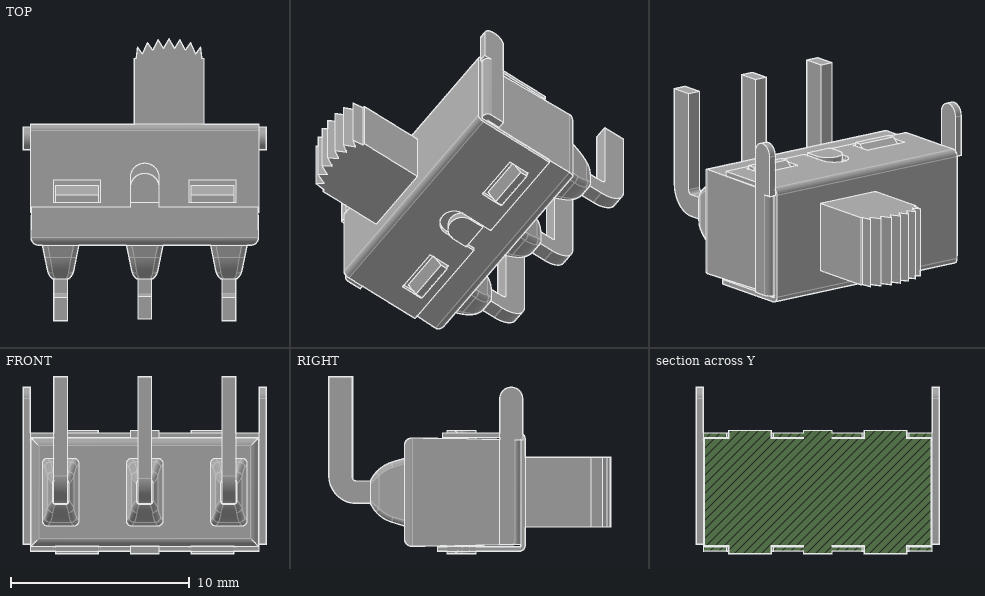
import cadquery as cq
import math


TOTAL_LENGTH = 15.77
OVERLAP = 0.15

COVER_WIDTH = 12.77
COVER_HEIGHT = 6.62
SHEET = 0.27
BEND_RADIUS = 0.35
TOP_FLAP_LENGTH = 4.64
BOTTOM_FLAP_LENGTH = 4.92

HOUSING_DEPTH = 6.77
HOUSING_FRONT_WIDTH = 12.75
HOUSING_FRONT_HEIGHT = COVER_HEIGHT - 2 * SHEET
HOUSING_DRAFT = 0.11
HOUSING_FILLET = 0.44

LATCH_RISE = 0.14
LATCH_FRONT = 4.38
LATCH_OFFSET = 3.78
LATCH_WIDTH = 2.38
LATCH_LENGTH = 0.96
LATCH_FLAT = 0.43
WINDOW_WIDTH = 2.62
WINDOW_LENGTH = 1.26
TONGUE_WIDTH = 1.61
TONGUE_LENGTH = 1.64
SLOT_LENGTH = 2.2

KNOB_OFFSET = 1.35
KNOB_WIDTH = 3.91
KNOB_SHOULDER = 3.67
KNOB_STEP = 0.11
KNOB_REACH = 4.78
TOOTH_COUNT = 7
TOOTH_ARC_RADIUS = 3.6
TOOTH_ANGLE = 9.8
TOOTH_DEPTH = 0.52

TAB_SPAN = 13.6
TAB_BACK = 0.14
TAB_WIDTH = 1.3
TAB_TOP = 5.87
TAB_ROOT_BACK = 0.25
TAB_ROOT_HEIGHT = 5.83
TAB_BEND_RADIUS = 0.33

PIN_PITCH = 4.7
COLLAR_LENGTH = 1.88
COLLAR_WIDTH = 2.05
COLLAR_HEIGHT = 3.78
COLLAR_TIP_WIDTH = 0.91
COLLAR_TIP_HEIGHT = 1.35
COLLAR_SIDE_LENGTH = 1.4
COLLAR_SIDE_WIDTH = 1.48
COLLAR_ROOF_LENGTH = 0.68
COLLAR_ROOF_HEIGHT = 3.37
COLLAR_FILLET = 0.32

PIN_WIDTH = 0.77
PIN_ROOT_HEIGHT = 1.26
PIN_TOP = 6.45
PIN_REACH = TOTAL_LENGTH - KNOB_REACH
OUTER_LEG = 1.31
OUTER_BEND = 0.24
CENTRE_PIN_SETBACK = 0.1
CENTRE_LEG = 1.26
CENTRE_BEND = 0.14


def block(width, back, front, bottom, top, x_centre=0):
    """Box between two Y planes (distances behind the back face) and two Z planes."""
    size = (width, front - back, top - bottom)
    middle = (x_centre, -(back + front) / 2, (bottom + top) / 2)
    return cq.Workplane("XY").box(*size).translate(middle)


def round_ended(plane, width, length, thickness):
    """Plate standing on the first axis of a plane, with a round end along the second axis."""
    radius = width / 2
    straight_end = length - radius
    return (
        cq.Workplane(plane)
        .moveTo(-radius, 0)
        .lineTo(-radius, straight_end)
        .threePointArc((0, length), (radius, straight_end))
        .lineTo(radius, 0)
        .close()
        .extrude(thickness)
    )


def both_sides(upper):
    """The upper shape together with its mirror image below z = 0."""
    return upper.union(upper.mirror("XY"))


def make_housing():
    length = HOUSING_DEPTH - SHEET
    return (
        cq.Workplane("XZ", origin=(0, -HOUSING_DEPTH, 0))
        .rect(HOUSING_FRONT_WIDTH, HOUSING_FRONT_HEIGHT)
        .extrude(-length, taper=math.degrees(math.atan(HOUSING_DRAFT / length)))
        .faces("<Y")
        .edges()
        .fillet(HOUSING_FILLET)
    )


def make_cover():
    half = COVER_HEIGHT / 2
    inside = half - SHEET
    body = block(COVER_WIDTH, 0, BOTTOM_FLAP_LENGTH, -half, half)
    body = body.edges("|X and >Y").fillet(BEND_RADIUS)
    cavity = block(COVER_WIDTH, SHEET, BOTTOM_FLAP_LENGTH, -inside, inside)
    trim = block(COVER_WIDTH, TOP_FLAP_LENGTH, BOTTOM_FLAP_LENGTH, 0, half)
    openings = round_ended("XY", TONGUE_WIDTH, SLOT_LENGTH, half).translate((0, -LATCH_FRONT, 0))
    openings = openings.union(block(TONGUE_WIDTH, LATCH_FRONT, BOTTOM_FLAP_LENGTH, 0, half))
    for side in (-1, 1):
        window_back = LATCH_FRONT - WINDOW_LENGTH
        openings = openings.union(
            block(WINDOW_WIDTH, window_back, LATCH_FRONT, 0, half, side * LATCH_OFFSET)
        )
    return body.cut(cavity).cut(trim).cut(both_sides(openings))


def make_latches():
    top = COVER_HEIGHT / 2 + LATCH_RISE
    slope_foot = HOUSING_FRONT_HEIGHT / 2 - HOUSING_DRAFT / 2
    base = slope_foot - OVERLAP
    latch_back = LATCH_LENGTH - LATCH_FRONT
    wedge_outline = [
        (-LATCH_FRONT, base),
        (-LATCH_FRONT, top),
        (LATCH_FLAT - LATCH_FRONT, top),
        (latch_back, slope_foot),
        (latch_back, base),
    ]
    wedge = cq.Workplane("YZ").polyline(wedge_outline).close().extrude(LATCH_WIDTH / 2, both=True)
    latches = round_ended("XY", TONGUE_WIDTH, TONGUE_LENGTH, top - base)
    latches = latches.translate((0, -LATCH_FRONT, base))
    for side in (-1, 1):
        latches = latches.union(wedge.translate((side * LATCH_OFFSET, 0, 0)))
    return both_sides(latches)


def make_knob():
    half = KNOB_WIDTH / 2
    tooth_half = half - KNOB_STEP

    def crown_point(step):
        """Point on the crown arc, counted in half teeth from the middle peak."""
        angle = math.radians(step * TOOTH_ANGLE / 2)
        drop = TOOTH_ARC_RADIUS * (1 - math.cos(angle))
        depth = TOOTH_DEPTH if step % 2 else 0
        return (TOOTH_ARC_RADIUS * math.sin(angle), KNOB_REACH - drop - depth)

    last_step = TOOTH_COUNT - 1
    crown = [crown_point(step) for step in range(-last_step, last_step + 1)]
    left_side = [(-half, -SHEET), (-half, KNOB_SHOULDER), (-tooth_half, KNOB_SHOULDER)]
    right_side = [(tooth_half, KNOB_SHOULDER), (half, KNOB_SHOULDER), (half, -SHEET)]
    return (
        cq.Workplane("XY")
        .polyline(left_side + crown + right_side)
        .close()
        .extrude(half, both=True)
        .translate((KNOB_OFFSET, 0, 0))
    )


def make_tabs():
    """Tabs against the cover ends, each with a root that is bent inwards onto the housing."""
    outside = TAB_SPAN / 2
    inside = COVER_WIDTH / 2
    root_half = TAB_ROOT_HEIGHT / 2
    root_inside = inside - HOUSING_DRAFT - OVERLAP
    front = TAB_BACK + TAB_WIDTH
    blade = round_ended("YZ", TAB_WIDTH, TAB_TOP - root_half, outside - inside)
    blade = blade.translate((inside, TAB_WIDTH / 2 - front, root_half))
    bend_front = outside - inside + TAB_ROOT_BACK
    root_outline = [
        (root_inside, -TAB_ROOT_BACK),
        (outside, -TAB_ROOT_BACK),
        (outside, -front),
        (inside, -front),
        (inside, -bend_front),
        (root_inside, -bend_front),
    ]
    root = cq.Workplane("XY").polyline(root_outline).close().extrude(root_half, both=True)
    root = root.edges("|Z and >X and >Y").fillet(TAB_BEND_RADIUS)
    tab = blade.union(root)
    return tab.union(tab.mirror("YZ"))


def make_collar():
    """Collar on y = 0 pointing to -Y: its plan outline crossed with its side outline."""

    def prism(plane, base, straight_width, straight_length, tip):
        """Prism narrowing from the base width, straight at first and then along an arc."""
        return (
            cq.Workplane(plane)
            .lineTo(base / 2, 0)
            .lineTo(straight_width / 2, -straight_length)
            .tangentArcPoint((tip / 2, -COLLAR_LENGTH), relative=False)
            .lineTo(0, -COLLAR_LENGTH)
            .mirrorY()
            .extrude(COLLAR_HEIGHT, both=True)
        )

    plan = prism("XY", COLLAR_WIDTH, COLLAR_SIDE_WIDTH, COLLAR_SIDE_LENGTH, COLLAR_TIP_WIDTH)
    side = prism("ZY", COLLAR_HEIGHT, COLLAR_ROOF_HEIGHT, COLLAR_ROOF_LENGTH, COLLAR_TIP_HEIGHT)
    collar = plan.intersect(side)
    corners = collar.edges("not(#Y)")
    return corners.fillet(COLLAR_FILLET)


def make_pin(reach, leg, bend):
    """Pin whose leg ends at the given reach behind the back face."""
    root_half = PIN_ROOT_HEIGHT / 2
    leg_inside = leg - reach
    outer_radius = leg + bend
    return (
        cq.Workplane("YZ")
        .moveTo(OVERLAP - HOUSING_DEPTH, root_half)
        .lineTo(leg_inside + bend, root_half)
        .radiusArc((leg_inside, root_half + bend), bend)
        .lineTo(leg_inside, PIN_TOP)
        .lineTo(-reach, PIN_TOP)
        .lineTo(-reach, outer_radius - root_half)
        .radiusArc((outer_radius - reach, -root_half), -outer_radius)
        .lineTo(OVERLAP - HOUSING_DEPTH, -root_half)
        .close()
        .extrude(PIN_WIDTH / 2, both=True)
    )


def make_terminals():
    collar = make_collar().translate((0, -HOUSING_DEPTH, 0))
    outer = collar.union(make_pin(PIN_REACH, OUTER_LEG, OUTER_BEND))
    centre = collar.union(make_pin(PIN_REACH - CENTRE_PIN_SETBACK, CENTRE_LEG, CENTRE_BEND))
    for side in (-1, 1):
        centre = centre.union(outer.translate((side * PIN_PITCH, 0, 0)))
    return centre


result = (
    make_housing()
    .union(make_cover())
    .union(make_latches())
    .union(make_knob())
    .union(make_tabs())
    .union(make_terminals())
)